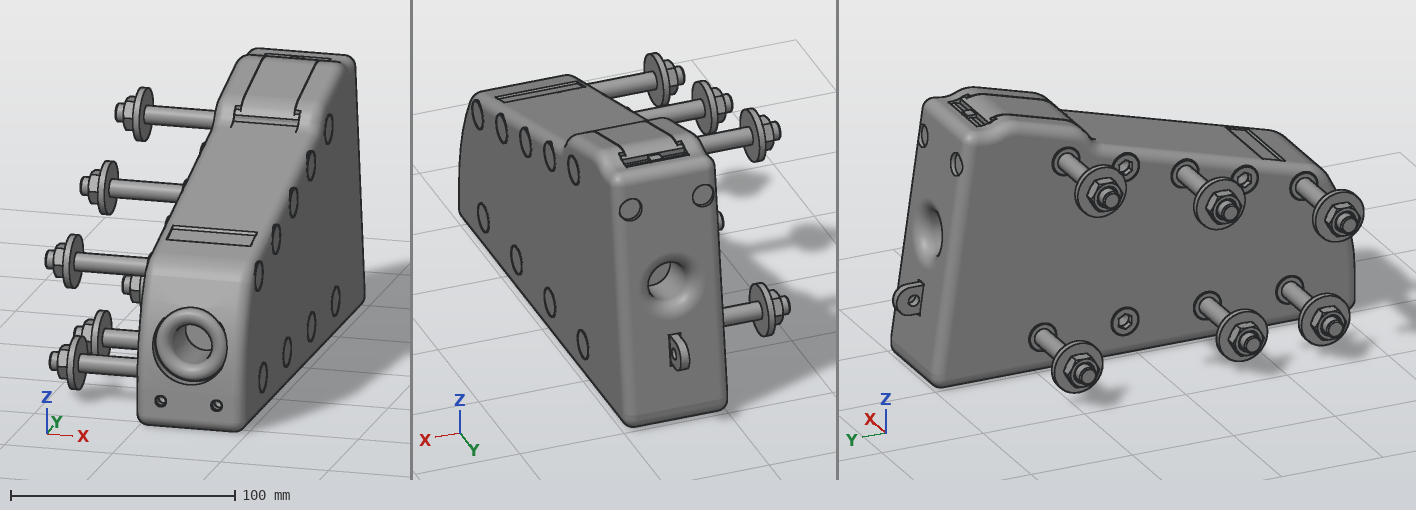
import cadquery as cq
import math

width = 50.2
mid_x = width / 2
edge_radius = 5.5
flat_margin = edge_radius

front_wall_height = 18.3
front_bow_radius = 97.5
front_bow_turn = 30.2
front_corner_radius = 16.5
top_slope = 15.9
lower_slope_length = 106.5
step_turn = 44.9
step_root_radius = 8.5
step_crest_radius = 15.2
upper_slope_length = 28.3
hump_radius = 15.2
hump_turn = 39.5
dip_radius = 12.8
back_lean = 8.1
base_length = 209.3
back_wall_height = 8.3

bolt_dia = 8.3
bolt_reach = 47.8
bolt_tip_chamfer = 0.7
washer_dia = 24.0
washer_thickness = 3.0
washer_offset = 34.3
nut_flats = 13.5
nut_thickness = 5.9
nut_mouth_dia = 10.0
nut_mouth_depth = 0.9
head_dia = 13.5
head_chamfer = 0.5
socket_flats = 6.5
socket_depth = 3.3
upper_row_back_y = 144.5
upper_row_back_z = 100.8
upper_pitch_y = 29.3
upper_row_drop = 34.3
upper_count = 5
upper_pitch_z = upper_row_drop / (upper_count - 1)
lower_row_back_y = 156.0
lower_row_z = 17.2
lower_pitch = 40.6
lower_count = 4
upper_row = [
    (upper_row_back_y - upper_pitch_y * i, upper_row_back_z - upper_pitch_z * i) for i in range(upper_count)
]
lower_row = [(lower_row_back_y - lower_pitch * i, lower_row_z) for i in range(lower_count)]
bolt_places = upper_row[0::2] + [lower_row[i] for i in (0, 2, 3)]
screw_places = upper_row[1::2] + [lower_row[1]]

inlet_dia = 33.5
inlet_mouth_dia = 27.0
inlet_throat_dia = 18.5
rim_face = 2.2
front_inlet_height = 39.0
back_inlet_dia = 32.4
back_inlet_height = 66.3
rim_clearance = 0.5
rim_length = 13.0
inlet_depth = 26.0

pilot_dia = 4.1
pilot_mouth_dia = 5.2
pilot_depth = 4.3
pilot_spacing = 25.9
pilot_height = 13.0
back_hole_dia = 10.5
back_hole_depth = 2.2
back_hole_spacing = 34.8
back_hole_height = 106.0

lug_thickness = 4.1
lug_height = 13.5
lug_tip = 217.3
lug_centre_height = 35.9
lug_hole_dia = 5.2
lug_hole_inset = 8.5
lug_slot_clearance = 0.75
lug_slot_depth = 1.0
lug_root = 6.5

lid_width = 24.8
opening_width = 30.0
seam_width = 0.2
seam_depth = 0.2
latch_slot_front = 178.0
latch_slot_back = 183.9
latch_slot_floor = 119.5
latch_ridge = 181.0
latch_ridge_top = 120.5
latch_corner_front = 174.0
latch_corner_back = 176.0
latch_corner_floor = 120.8
catch_width = 5.7
catch_front = 178.5
catch_back = 182.8
catch_root = 117.4
catch_top = 121.5
hinge_front = 125.0
hinge_back = 130.6
hinge_bevel_front = 130.2
hinge_bevel_height = 1.3
hinge_corner_front = 132.1
hinge_corner_back = 133.5
hinge_corner_floor = 109.0
label_front = 34.0
label_back = 45.2
label_depth = 0.9
label_end_gap = 0.5
label_draft = 1.3
above = 130.5


class Outline:
    """Side outline in (Y, Z) built from straight and round stretches that meet smoothly."""

    def __init__(self, y, z, heading):
        self.y = y
        self.z = z
        self.heading = heading
        self.wire = cq.Workplane("YZ").moveTo(0, 0).lineTo(y, z)

    def run(self, length):
        self.y += length * math.cos(math.radians(self.heading))
        self.z += length * math.sin(math.radians(self.heading))
        self.wire = self.wire.lineTo(self.y, self.z)

    def arc(self, radius, turn):
        """Round stretch; a positive turn bends upwards, a negative one downwards."""
        side = math.copysign(1, turn)
        start = math.radians(self.heading)
        centre_y = self.y - side * radius * math.sin(start)
        centre_z = self.z + side * radius * math.cos(start)
        points = []
        for share in (0.5, 1):
            angle = math.radians(self.heading + share * turn)
            point_y = centre_y + side * radius * math.sin(angle)
            point_z = centre_z - side * radius * math.cos(angle)
            points.append((point_y, point_z))
        self.wire = self.wire.threePointArc(*points)
        self.y, self.z = points[1]
        self.heading += turn


def back_wall_y(z):
    return base_length - (z - back_wall_height) * math.tan(math.radians(back_lean))


lean = math.radians(back_lean)
slope = math.radians(top_slope)
outline = Outline(0, front_wall_height, 90)
outline.arc(front_bow_radius, -front_bow_turn)
outline.arc(front_corner_radius, top_slope - outline.heading)
slope_start_y, slope_start_z = outline.y, outline.z
outline.run(lower_slope_length)
outline.arc(step_root_radius, step_turn)
outline.arc(step_crest_radius, -step_turn)
outline.run(upper_slope_length)
outline.arc(hump_radius, -hump_turn)
outline.arc(dip_radius, back_lean - outline.heading)
shelf_length = (back_wall_y(outline.z) - outline.y) * math.cos(lean)
outline.run(shelf_length)
side_profile = outline.wire.lineTo(base_length, back_wall_height).lineTo(base_length, 0).close()


def slope_z(y):
    """Height of the lower sloping top at a given Y."""
    return slope_start_z + (y - slope_start_y) * math.tan(slope)


def rod(dia, x_start, x_end, place):
    """Cylinder along X between two X positions, centred on a (Y, Z) place."""
    return cq.Workplane("YZ", origin=(x_start, 0, 0)).center(*place).circle(dia / 2).extrude(x_end - x_start)


def hexagon(flats, x_start, x_end, place, turn=0):
    """Hexagonal bar along X; with no turn two corners point along Y."""
    bar = cq.Workplane("YZ").polygon(6, flats / math.cos(math.pi / 6)).extrude(x_end - x_start)
    return bar.rotate((0, 0, 0), (1, 0, 0), turn).translate((x_start, *place))


def prism(x_start, x_end, points):
    """Straight-sided (Y, Z) outline extruded along X."""
    return cq.Workplane("YZ", origin=(x_start, 0, 0)).polyline(points).close().extrude(x_end - x_start)


def box(x_start, x_end, y_start, y_end, z_start, z_end):
    size = (x_end - x_start, y_end - y_start, z_end - z_start)
    return cq.Workplane("XY").box(*size, centered=False).translate((x_start, y_start, z_start))


block = side_profile.extrude(width)
top_back_corner = cq.Vector(mid_x, outline.y, outline.z)
sharp_edges = block.faces("<X or >X").edges().vals()
for edge in block.edges("|X").vals():
    on_underside = edge.Center().z < edge_radius
    on_top_back = (edge.Center() - top_back_corner).Length < edge_radius
    if on_underside or on_top_back:
        sharp_edges.append(edge)
housing = block.newObject(sharp_edges).fillet(edge_radius)


def head(place):
    """Round head filling the width of the housing, flush with both side faces."""
    return rod(head_dia, 0, width, place).faces("<X or >X").chamfer(head_chamfer)


def nut(place):
    outer_x = -washer_offset - washer_thickness - nut_thickness
    blank = hexagon(nut_flats, outer_x, outer_x + nut_thickness, place)
    corner_dia = nut_flats / math.cos(math.pi / 6)
    corner_bevel = (corner_dia - nut_flats) / 2
    turned = rod(corner_dia, outer_x, outer_x + nut_thickness, place)
    turned = turned.faces("<X or >X").chamfer(corner_bevel * math.tan(math.pi / 6), corner_bevel)
    mouth = rod(nut_mouth_dia, outer_x, outer_x + nut_mouth_depth, place)
    return blank.intersect(turned).cut(mouth)


def bolt(place):
    shank = rod(bolt_dia, -bolt_reach, mid_x, place).faces("<X").chamfer(bolt_tip_chamfer)
    washer = rod(washer_dia, -washer_offset - washer_thickness, -washer_offset, place)
    return washer.union(nut(place)).union(shank)


def screw_socket(place):
    """Hexagonal socket with a conical floor."""
    tip_depth = socket_flats / 2 * math.tan(math.pi / 6)
    tip = cq.Solid.makeCone(
        socket_flats / 2, 0, tip_depth, pnt=cq.Vector(socket_depth, *place), dir=cq.Vector(1, 0, 0)
    )
    return hexagon(socket_flats, 0, socket_depth, place, 30).union(cq.Workplane(tip))


def funnel(mouth_dia):
    """Bell-mouthed blind hole opening on Y = 0 and running towards +Y around the Y axis."""
    mouth = mouth_dia / 2
    throat = inlet_throat_dia / 2
    flare = mouth - throat
    on_flare = (mouth - flare * math.sqrt(0.5), flare * (1 - math.sqrt(0.5)))
    half = cq.Workplane("XY").lineTo(mouth, 0).threePointArc(on_flare, (throat, flare))
    return half.lineTo(throat, inlet_depth).lineTo(0, inlet_depth).close().revolve(360, (0, 0), (0, 1))


def add_front_inlet(body):
    """Round-edged rim set in a clearance bore of the bowed front wall."""
    centre = (mid_x, rim_face, front_inlet_height)
    rim_round = (inlet_dia - inlet_mouth_dia) / 2
    rim = cq.Workplane("XZ").circle(inlet_dia / 2).extrude(-rim_length).faces("<Y").edges().fillet(rim_round)
    bore = cq.Workplane("XZ").circle(inlet_dia / 2 + rim_clearance).extrude(rim_round + rim_face, both=True)
    body = body.cut(bore.translate((mid_x, 0, front_inlet_height)))
    return body.union(rim.translate(centre)).cut(funnel(inlet_mouth_dia).translate(centre))


def cut_back_inlet(body):
    place = (mid_x, back_wall_y(back_inlet_height), back_inlet_height)
    return body.cut(funnel(back_inlet_dia).rotate((0, 0, 0), (1, 0, 0), 180 + back_lean).translate(place))


def cut_front_holes(body):
    bevel = (pilot_mouth_dia - pilot_dia) / 2
    tip = pilot_dia / 2
    half = (
        cq.Workplane("XY")
        .lineTo(pilot_mouth_dia / 2, 0)
        .lineTo(tip, bevel)
        .lineTo(tip, pilot_depth)
        .lineTo(0, pilot_depth + tip)
        .close()
    )
    hole = half.revolve(360, (0, 0), (0, 1))
    for side in (-1, 1):
        body = body.cut(hole.translate((mid_x + side * pilot_spacing / 2, 0, pilot_height)))
    return body


def cut_back_holes(body):
    hole = cq.Workplane("XZ").circle(back_hole_dia / 2).extrude(back_hole_depth, both=True)
    hole = hole.rotate((0, 0, 0), (1, 0, 0), back_lean)
    for side in (-1, 1):
        place = (mid_x + side * back_hole_spacing / 2, back_wall_y(back_hole_height), back_hole_height)
        body = body.cut(hole.translate(place))
    return body


def add_lug(body):
    """Round-ended pierced tongue standing in a shallow slot of the back wall."""
    radius = lug_height / 2
    wall_y = back_wall_y(lug_centre_height)
    slot_width = lug_thickness + 2 * lug_slot_clearance
    slot_height = lug_height + 2 * lug_slot_clearance
    slot = cq.Workplane("XY").box(slot_width, 2 * lug_slot_depth, slot_height)
    slot = slot.rotate((0, 0, 0), (1, 0, 0), back_lean)
    body = body.cut(slot.translate((mid_x, wall_y, lug_centre_height)))
    left_x = mid_x - lug_thickness / 2
    right_x = mid_x + lug_thickness / 2
    root_y = wall_y - lug_root
    end_y = lug_tip - radius
    tongue = box(left_x, right_x, root_y, end_y, lug_centre_height - radius, lug_centre_height + radius)
    tongue = tongue.union(rod(lug_height, left_x, right_x, (end_y, lug_centre_height)))
    eye = rod(lug_hole_dia, left_x, right_x, (lug_tip - lug_hole_inset, lug_centre_height))
    return body.union(tongue).cut(eye)


def cut_lid(body):
    opening_left = mid_x - opening_width / 2
    opening_right = mid_x + opening_width / 2
    lid_left = mid_x - lid_width / 2
    lid_right = mid_x + lid_width / 2

    hinge = [
        (hinge_front, slope_z(hinge_front)),
        (hinge_bevel_front, slope_z(hinge_bevel_front)),
        (hinge_back, slope_z(hinge_back) + hinge_bevel_height),
        (hinge_back, above),
        (hinge_front, above),
    ]
    body = body.cut(prism(opening_left, opening_right, hinge))

    slot = [
        (latch_slot_front, above),
        (latch_slot_front, latch_slot_floor),
        (latch_ridge, latch_ridge_top),
        (latch_slot_back, latch_slot_floor),
        (latch_slot_back, above),
    ]
    body = body.cut(prism(opening_left, opening_right, slot))
    catch_sides = (mid_x - catch_width / 2, mid_x + catch_width / 2)
    body = body.union(box(*catch_sides, catch_front, catch_back, catch_root, catch_top))

    skin = block.cut(block.translate((0, 0, -seam_depth)))

    def seam(x, y_start, y_end):
        return skin.intersect(box(x - seam_width / 2, x + seam_width / 2, y_start, y_end, 0, above))

    for lid_side, opening_side in ((lid_left, opening_left), (lid_right, opening_right)):
        ends = sorted((lid_side, opening_side))
        body = body.cut(box(*ends, latch_corner_front, latch_corner_back, latch_corner_floor, above))
        body = body.cut(box(*ends, hinge_corner_front, hinge_corner_back, hinge_corner_floor, above))
        body = body.cut(seam(lid_side, hinge_corner_back, latch_corner_front))
        body = body.cut(seam(opening_side, hinge_back, hinge_corner_front))
        body = body.cut(seam(opening_side, latch_corner_back, latch_slot_front))
    return body


def cut_label_recess(body):
    floor_front = label_front + label_draft
    floor_back = label_back - label_draft
    recess = [
        (label_front, slope_z(label_front)),
        (floor_front, slope_z(floor_front) - label_depth),
        (floor_back, slope_z(floor_back) - label_depth),
        (label_back, slope_z(label_back)),
    ]
    return body.cut(prism(flat_margin, width - flat_margin - label_end_gap, recess))


result = housing
for place in bolt_places + screw_places:
    result = result.cut(rod(head_dia, 0, width, place)).union(head(place))
for place in bolt_places:
    result = result.union(bolt(place))
for place in screw_places:
    result = result.cut(screw_socket(place))
result = add_front_inlet(result)
result = cut_back_inlet(result)
result = cut_front_holes(result)
result = cut_back_holes(result)
result = add_lug(result)
result = cut_lid(result)
result = cut_label_recess(result)